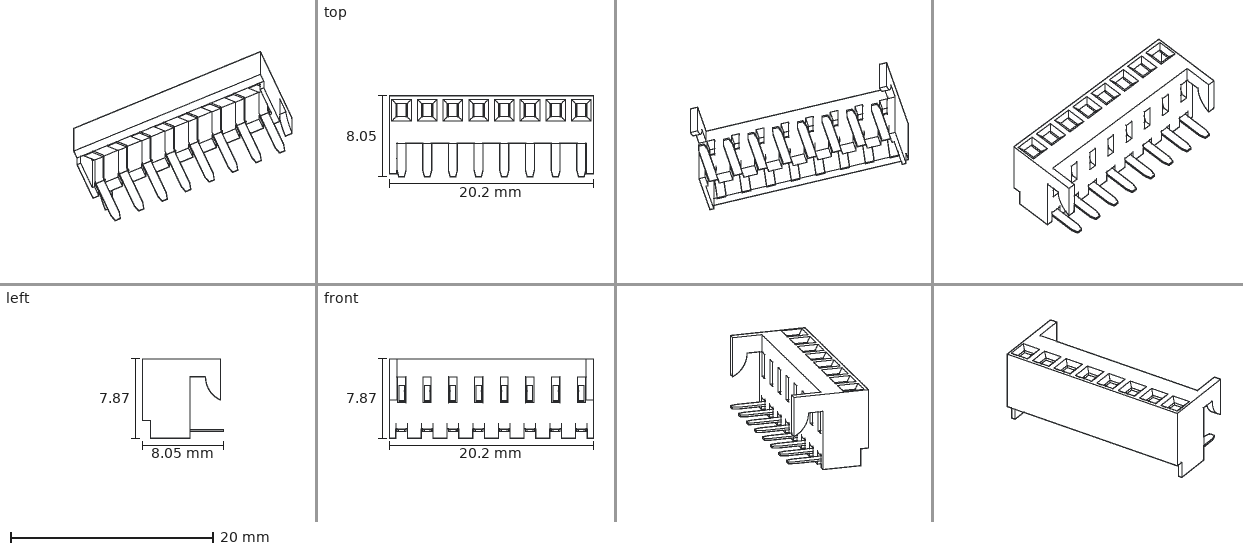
import cadquery as cq
import math


LENGTH = 20.22
HEIGHT = 7.87
DEPTH = 4.73
FRONT_WALL = 1.07
BACK_WALL = 0.8
END_WALL = 0.4
BACK_STEP_HEIGHT = 1.75

ARM_REACH = 3.03
ARM_THICKNESS = 0.75
ARM_ROOT_HEIGHT = 1.78
HOOK_START = 1.52
HOOK_HEIGHT = 4.08

CONTACTS = 8
END_MARGIN = 1.21
PITCH = (LENGTH - 2 * END_MARGIN) / (CONTACTS - 1)
CENTRES = [END_MARGIN + i * PITCH for i in range(CONTACTS)]

ENTRY_WIDTH = 1.1
ENTRY_LENGTH = 1.3
FUNNEL_DEPTH = 0.42
ROOF = FUNNEL_DEPTH + 0.26
ENTRY_Y = DEPTH - BACK_WALL - ENTRY_LENGTH / 2

SLOT_WIDTH = 0.79
SLOT_HEIGHT = 2.55
SLOT_TOP = HEIGHT - ARM_ROOT_HEIGHT
NOTCH_WIDTH = 1.13
NOTCH_HEIGHT = 0.95
NOTCH_ROUND = 0.5

METAL = 0.2
CONTACT_WIDTH = 0.9
PIN_REACH = 3.32
PIN_TOP = 0.87
PIN_TIP_WIDTH = 0.57
PIN_TIP_LENGTH = 0.65
BEND_RADIUS = 0.16
PLATE_TOP = HEIGHT - ROOF - METAL
SPRING_FOOT = 2.02
LANCE_WIDTH = 0.55
LANCE_TOP = 5.25
LANCE_LENGTH = 1.62
LANCE_ANGLE = math.radians(20.5)


def box(x, y, z):
    """Box spanning the given (low, high) ranges."""
    size = (x[1] - x[0], y[1] - y[0], z[1] - z[0])
    return cq.Workplane("XY").box(*size, centered=False).translate((x[0], y[0], z[0]))


def across(centre, width):
    """Range of the given width about a centre."""
    return (centre - width / 2, centre + width / 2)


def side_profile(x):
    """Sketch plane at x whose axes are Y and Z and whose extrusions run along +X."""
    return cq.Workplane("YZ", origin=(x, 0, 0))


def shell():
    """Stepped block hollowed by one trough, open below and under the back wall."""
    block = (
        side_profile(0)
        .moveTo(0, 0)
        .lineTo(DEPTH - BACK_WALL, 0)
        .lineTo(DEPTH - BACK_WALL, BACK_STEP_HEIGHT)
        .lineTo(DEPTH, BACK_STEP_HEIGHT)
        .lineTo(DEPTH, HEIGHT)
        .lineTo(0, HEIGHT)
        .close()
        .extrude(LENGTH)
    )
    trough = box(
        (END_WALL, LENGTH - END_WALL), (FRONT_WALL, DEPTH - BACK_WALL), (0, HEIGHT - ROOF)
    )
    return block.cut(trough)


def arm(x):
    """End arm whose hook curves from a vertical start down to a sharp point."""
    run = ARM_REACH - HOOK_START
    drop = HOOK_HEIGHT - ARM_ROOT_HEIGHT
    radius = (run**2 + drop**2) / (2 * run)
    half_sweep = math.asin(drop / radius) / 2
    arc_mid = (
        -HOOK_START - radius * (1 - math.cos(half_sweep)),
        HEIGHT - ARM_ROOT_HEIGHT - radius * math.sin(half_sweep),
    )
    return (
        side_profile(x)
        .moveTo(0, HEIGHT)
        .lineTo(0, HEIGHT - ARM_ROOT_HEIGHT)
        .lineTo(-HOOK_START, HEIGHT - ARM_ROOT_HEIGHT)
        .threePointArc(arc_mid, (-ARM_REACH, HEIGHT - HOOK_HEIGHT))
        .lineTo(-ARM_REACH, HEIGHT)
        .close()
        .extrude(ARM_THICKNESS)
    )


def entry(x):
    """Rectangular hole through the roof with a 45 degree lead-in."""
    hole = box(
        across(x, ENTRY_WIDTH), across(ENTRY_Y, ENTRY_LENGTH), (HEIGHT - ROOF, HEIGHT)
    )
    funnel = (
        cq.Workplane("XY", origin=(x, ENTRY_Y, HEIGHT))
        .rect(ENTRY_WIDTH + 2 * FUNNEL_DEPTH, ENTRY_LENGTH + 2 * FUNNEL_DEPTH)
        .extrude(-FUNNEL_DEPTH, taper=45)
    )
    return hole.union(funnel)


def lance_slot(x):
    """Window through the front wall for the locking lance."""
    return box(across(x, SLOT_WIDTH), (0, FRONT_WALL), (SLOT_TOP - SLOT_HEIGHT, SLOT_TOP))


def pin_notch(x):
    """Notch under the front wall, its top edge rounded over onto the front face."""
    round_mid = NOTCH_ROUND * (1 - math.sqrt(0.5))
    return (
        side_profile(x - NOTCH_WIDTH / 2)
        .moveTo(0, 0)
        .lineTo(FRONT_WALL, 0)
        .lineTo(FRONT_WALL, NOTCH_HEIGHT)
        .lineTo(NOTCH_ROUND, NOTCH_HEIGHT)
        .threePointArc((round_mid, NOTCH_HEIGHT + round_mid), (0, NOTCH_HEIGHT + NOTCH_ROUND))
        .close()
        .extrude(NOTCH_WIDTH)
    )


def pin(x):
    """Flat pin with a tapered tip, running forward from the contact plate."""
    shoulder = -PIN_REACH + PIN_TIP_LENGTH
    return (
        cq.Workplane("XY", origin=(x, 0, PIN_TOP - METAL))
        .moveTo(-CONTACT_WIDTH / 2, FRONT_WALL)
        .lineTo(-CONTACT_WIDTH / 2, shoulder)
        .lineTo(-PIN_TIP_WIDTH / 2, -PIN_REACH)
        .lineTo(PIN_TIP_WIDTH / 2, -PIN_REACH)
        .lineTo(CONTACT_WIDTH / 2, shoulder)
        .lineTo(CONTACT_WIDTH / 2, FRONT_WALL)
        .close()
        .extrude(METAL)
    )


def plate(x):
    """Upright plate on the inside of the front wall, bent forward to meet the pin."""
    outer_radius = BEND_RADIUS + METAL
    bend_y = FRONT_WALL - BEND_RADIUS
    bend_z = PIN_TOP + BEND_RADIUS
    diagonal = math.sqrt(0.5)
    return (
        side_profile(x - CONTACT_WIDTH / 2)
        .moveTo(bend_y, PIN_TOP)
        .threePointArc(
            (bend_y + BEND_RADIUS * diagonal, bend_z - BEND_RADIUS * diagonal),
            (FRONT_WALL, bend_z),
        )
        .lineTo(FRONT_WALL, PLATE_TOP)
        .lineTo(FRONT_WALL + METAL, PLATE_TOP)
        .lineTo(FRONT_WALL + METAL, bend_z)
        .threePointArc(
            (bend_y + outer_radius * diagonal, bend_z - outer_radius * diagonal),
            (bend_y, PIN_TOP - METAL),
        )
        .close()
        .extrude(CONTACT_WIDTH)
    )


def spring(x):
    """Sloping leaf from the top of the plate down to the back wall, below the entry."""
    run = DEPTH - BACK_WALL - FRONT_WALL - METAL
    drop = PLATE_TOP - SPRING_FOOT
    upright_thickness = METAL * math.hypot(run, drop) / run
    return (
        side_profile(x - CONTACT_WIDTH / 2)
        .moveTo(FRONT_WALL + METAL, PLATE_TOP)
        .lineTo(DEPTH - BACK_WALL, SPRING_FOOT)
        .lineTo(DEPTH - BACK_WALL, SPRING_FOOT - upright_thickness)
        .lineTo(FRONT_WALL + METAL, PLATE_TOP - upright_thickness)
        .close()
        .extrude(CONTACT_WIDTH)
    )


def lance(x):
    """Locking tongue leaning forward out of the plate into the front slot."""
    lean = math.sin(LANCE_ANGLE)
    fall = math.cos(LANCE_ANGLE)
    tip = (FRONT_WALL - LANCE_LENGTH * lean, LANCE_TOP - LANCE_LENGTH * fall)
    tip_back = (tip[0] + METAL * fall, tip[1] - METAL * lean)
    return (
        side_profile(x - LANCE_WIDTH / 2)
        .moveTo(FRONT_WALL, LANCE_TOP)
        .lineTo(*tip)
        .lineTo(*tip_back)
        .lineTo(FRONT_WALL, LANCE_TOP - METAL / lean)
        .close()
        .extrude(LANCE_WIDTH)
    )


housing = shell().union(arm(0)).union(arm(LENGTH - ARM_THICKNESS))
for centre in CENTRES:
    for opening in (entry, lance_slot, pin_notch):
        housing = housing.cut(opening(centre))

result = housing
for centre in CENTRES:
    for contact_part in (plate, pin, spring, lance):
        result = result.union(contact_part(centre))